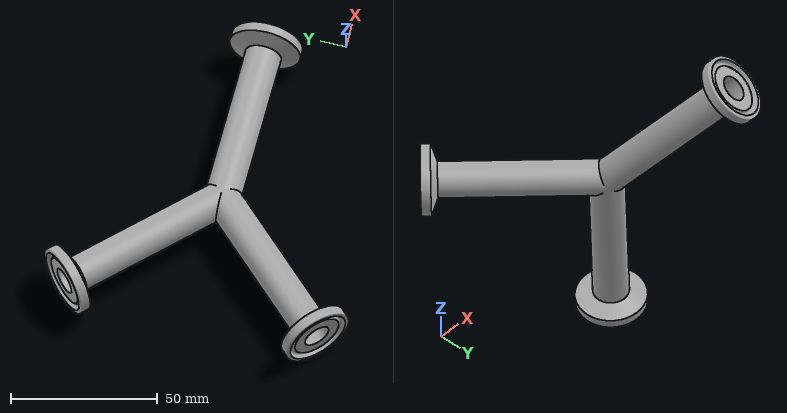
import cadquery as cq
import math

overall_length = 117.1
branch_angle = 45
arm_directions = (0, 180 - branch_angle, 180 + branch_angle)

tube_diameter = 12.6
bore_diameter = 9.4

flange_diameter = 24.9
rim_thickness = 3.6
rim_fillet = 0.4
clamp_angle = 20

recess_depth = 0.7
recess_diameter = 17.5
groove_diameter = 21.9
groove_depth = 1.6
outer_wall_end_diameter = 21.2
outer_wall_end_depth = 0.9
inner_wall_end_diameter = 18.5
inner_wall_end_depth = 1.4

tube_radius = tube_diameter / 2
flange_radius = flange_diameter / 2
cone_length = (flange_radius - tube_radius) * math.tan(math.radians(clamp_angle))

branch_cos = math.cos(math.radians(branch_angle))
branch_sin = math.sin(math.radians(branch_angle))
rim_corner_reach = flange_radius * branch_sin - rim_fillet * (branch_cos + branch_sin - 1)
arm_length = (overall_length - rim_corner_reach) / (1 + branch_cos)

rim_back = arm_length - rim_thickness
cone_back = rim_back - cone_length


def along_x(outline):
    """Revolve an (x, radius) outline about the X axis."""
    return outline.close().revolve(360, (0, 0, 0), (1, 0, 0))


def solid_arm():
    """Tube and flange along +X, without bore or face recess."""
    tube = cq.Workplane("YZ").circle(tube_radius).extrude(arm_length)
    flange = along_x(
        cq.Workplane("XY")
        .moveTo(cone_back, 0)
        .lineTo(cone_back, tube_radius)
        .lineTo(rim_back, flange_radius)
        .lineTo(arm_length, flange_radius)
        .lineTo(arm_length, 0)
    )
    flange = flange.faces(">X").edges().fillet(rim_fillet)
    return tube.union(flange)


def face_recess():
    """Material removed from the sealing face of the +X arm: flat recess plus gasket groove."""
    recess_floor = arm_length - recess_depth
    outer_wall_end = (arm_length - outer_wall_end_depth, outer_wall_end_diameter / 2)
    inner_wall_end = (arm_length - inner_wall_end_depth, inner_wall_end_diameter / 2)
    groove_bottom = (arm_length - groove_depth, (outer_wall_end[1] + inner_wall_end[1]) / 2)
    return along_x(
        cq.Workplane("XY")
        .moveTo(arm_length, 0)
        .lineTo(arm_length, groove_diameter / 2)
        .lineTo(*outer_wall_end)
        .threePointArc(groove_bottom, inner_wall_end)
        .lineTo(recess_floor, recess_diameter / 2)
        .lineTo(recess_floor, 0)
    )


def on_every_arm(shape):
    """Copies of a +X shape turned onto all three arms."""
    return [shape.rotate((0, 0, 0), (0, 0, 1), angle) for angle in arm_directions]


def bore():
    return cq.Workplane("YZ").circle(bore_diameter / 2).extrude(arm_length)


result = cq.Workplane("XY")
for arm in on_every_arm(solid_arm()):
    result = result.union(arm)
for cutter in on_every_arm(bore()) + on_every_arm(face_recess()):
    result = result.cut(cutter)